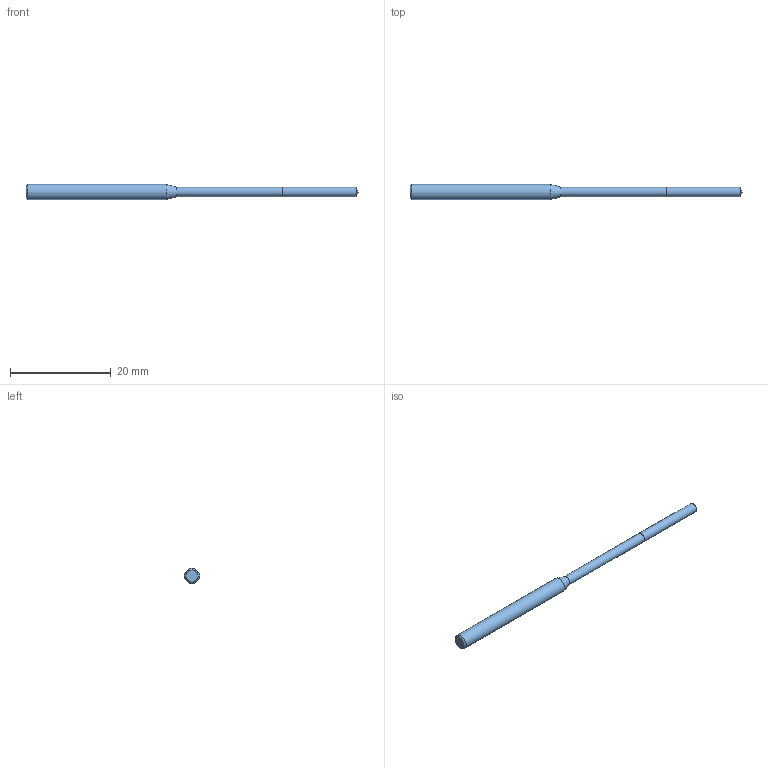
import cadquery as cq
import math

overall_length = 66.0
cutting_length = 15.0
shank_diameter = 3.0
shank_length = 28.0
shank_chamfer = 0.3
taper_length = 2.0
neck_diameter = 1.9
cutting_diameter = 1.9
point_angle = 140.0

taper_end = shank_length + taper_length
joint_x = overall_length - cutting_length
shank_radius = shank_diameter / 2
neck_radius = neck_diameter / 2
cutting_radius = cutting_diameter / 2
point_length = cutting_radius / math.tan(math.radians(point_angle / 2))
point_start = overall_length - point_length


def revolve_about_x(profile):
    """Turn a half profile of (x, radius) points about the X axis."""
    outline = cq.Workplane("XY").polyline(profile).close()
    return outline.revolve(360, (0, 0, 0), (1, 0, 0))


def make_shank():
    """Chamfered shank that tapers down to a slender neck."""
    return revolve_about_x([
        (0, 0),
        (0, shank_radius - shank_chamfer),
        (shank_chamfer, shank_radius),
        (shank_length, shank_radius),
        (taper_end, neck_radius),
        (joint_x, neck_radius),
        (joint_x, 0),
    ])


def make_cutting_head():
    """Plain cylindrical cutting head with a conical point, butted onto the neck."""
    return revolve_about_x([
        (joint_x, 0),
        (joint_x, cutting_radius),
        (point_start, cutting_radius),
        (overall_length, 0),
    ])


shank = make_shank()
cutting_head = make_cutting_head()

result = cq.Compound.makeCompound([shank.val(), cutting_head.val()])